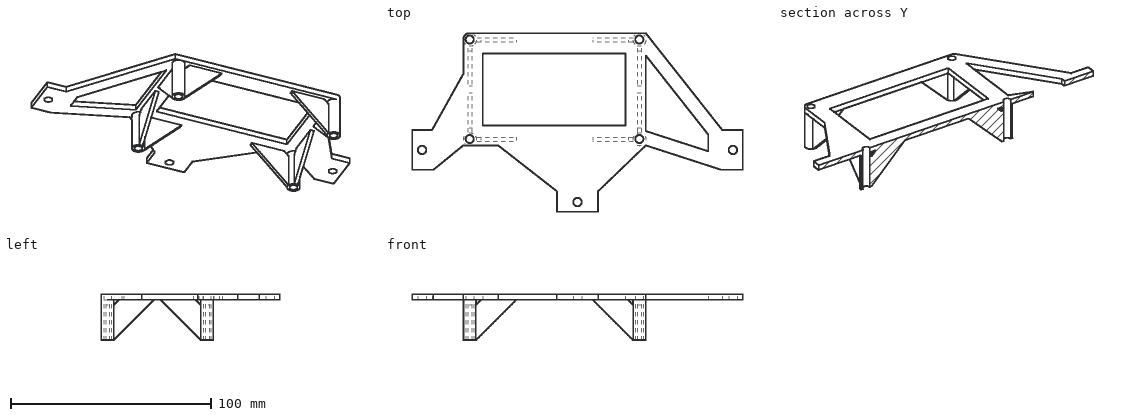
import cadquery as cq

length = 165.0
width = 89.3
height = 23.0
plate_thickness = 3.0
post_length = height - plate_thickness

post_diameter = 6.5
post_radius = post_diameter / 2
post_hole_diameter = 4.0
post_spacing_x = 84.6
post_spacing_y = 49.7
post_left = 28.7
post_right = post_left + post_spacing_x
post_rear = width - post_radius
post_front = post_rear - post_spacing_y

body_left = post_left - post_radius
body_right = post_right + post_radius
body_front = post_front - post_radius

tab_width = 20.0
tab_hole_diameter = 4.1
tab_hole_inset = 5.0
side_tab_front = 21.0
side_tab_rear = side_tab_front + tab_width
side_tab_center = side_tab_front + tab_width / 2
left_tab_rear_end = 9.9
left_tab_front_end = 10.5
right_tab_rear_start = 154.8
right_tab_front_start = 154.3
front_tab_center = length / 2
front_tab_half_width = 10.2
front_tab_length = 10.2

left_slope_top = 69.0
front_slope_start = 42.9

window_left = 35.3
window_right = 106.5
window_front = 43.2
window_rear = 79.0

opening_right = 147.7
opening_rear = 78.0
opening_front = 40.5
opening_right_rear = 38.6
opening_right_front = 30.4

gusset_thickness = 2.0
gusset_relief = 2.3


def make_plate():
    """Plate outline, starting at the rounded rear left corner."""
    return (
        cq.Workplane("XY", origin=(0, 0, post_length))
        .moveTo(post_left, width)
        .lineTo(body_right, width)
        .lineTo(right_tab_rear_start, side_tab_rear)
        .lineTo(length, side_tab_rear)
        .lineTo(length, side_tab_front)
        .lineTo(right_tab_front_start, side_tab_front)
        .lineTo(body_right, body_front)
        .lineTo(front_tab_center + front_tab_half_width, front_tab_length)
        .lineTo(front_tab_center + front_tab_half_width, 0)
        .lineTo(front_tab_center - front_tab_half_width, 0)
        .lineTo(front_tab_center - front_tab_half_width, front_tab_length)
        .lineTo(front_slope_start, body_front)
        .lineTo(body_left, body_front)
        .lineTo(left_tab_front_end, side_tab_front)
        .lineTo(0, side_tab_front)
        .lineTo(0, side_tab_rear)
        .lineTo(left_tab_rear_end, side_tab_rear)
        .lineTo(body_left, left_slope_top)
        .lineTo(body_left, post_rear)
        .radiusArc((post_left, width), post_radius)
        .close()
        .extrude(plate_thickness)
    )


def make_openings():
    """Cutters for the window and the opening in the right arm."""
    window = cq.Workplane("XY").box(
        window_right - window_left, window_rear - window_front, height, centered=False
    ).translate((window_left, window_front, 0))
    arm_opening = (
        cq.Workplane("XY")
        .moveTo(body_right, opening_rear)
        .lineTo(opening_right, opening_right_rear)
        .lineTo(opening_right, opening_right_front)
        .lineTo(body_right, opening_front)
        .close()
        .extrude(height)
    )
    return window.union(arm_opening)


def make_gusset():
    """Gusset along +X from a post on the Z axis, tapering at 45 degrees."""
    return (
        cq.Workplane("XZ")
        .moveTo(0, 0)
        .lineTo(post_radius, 0)
        .lineTo(post_radius + post_length, post_length)
        .lineTo(post_radius + gusset_relief, post_length)
        .lineTo(post_radius, post_length - gusset_relief)
        .lineTo(0, post_length - gusset_relief)
        .close()
        .extrude(gusset_thickness / 2, both=True)
    )


def make_post(x, y, first_gusset_angle):
    """Post with two gussets at right angles, the second turned 90 degrees on."""
    post = cq.Workplane("XY").circle(post_radius).extrude(post_length)
    for angle in (first_gusset_angle, first_gusset_angle + 90):
        post = post.union(make_gusset().rotate((0, 0, 0), (0, 0, 1), angle))
    return post.translate((x, y, 0))


def make_holes(centers, diameter):
    """Through-hole cutters at the given centres."""
    return cq.Workplane("XY").pushPoints(centers).circle(diameter / 2).extrude(height)


posts = [
    (post_left, post_front, 0),
    (post_right, post_front, 90),
    (post_right, post_rear, 180),
    (post_left, post_rear, 270),
]
tab_holes = [
    (tab_hole_inset, side_tab_center),
    (length - tab_hole_inset, side_tab_center),
    (front_tab_center, tab_hole_inset),
]

result = make_plate().cut(make_openings())
for x, y, angle in posts:
    result = result.union(make_post(x, y, angle))
post_holes = [(x, y) for x, y, angle in posts]
result = result.cut(make_holes(post_holes, post_hole_diameter))
result = result.cut(make_holes(tab_holes, tab_hole_diameter))